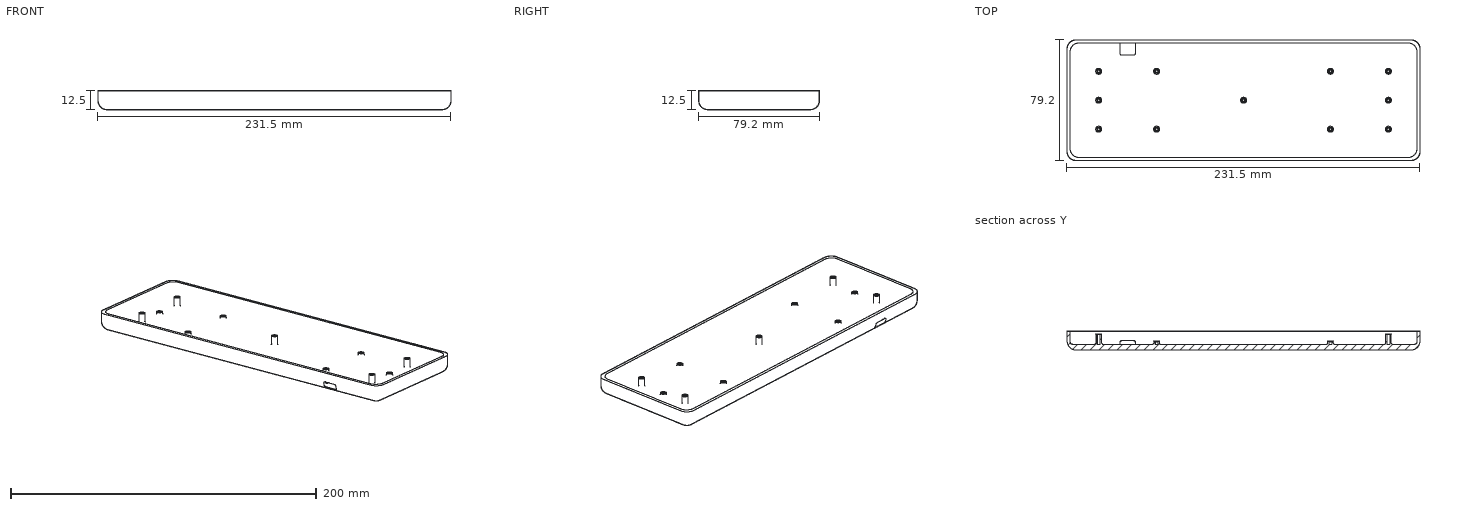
import cadquery as cq
import math

LENGTH = 231.5
WIDTH = 79.2
HEIGHT = 12.5
CORNER_RADIUS = 6.0
BOTTOM_FILLET = CORNER_RADIUS - 0.02
WALL = 2.0
FLOOR = 4.0
INNER_CORNER_RADIUS = 5.8
INNER_FILLET = 1.9

GRID_PITCH = 19.0
OUTER_COLUMN = 5 * GRID_PITCH
INNER_COLUMN = 3 * GRID_PITCH
POST_DIAMETER = 4.0
POST_FILLET = 1.2
POST_HOLE_DIAMETER = 1.6
POST_HOLE_CHAMFER = 0.5
TALL_POST_HEIGHT = 6.7
SHORT_POST_HEIGHT = 2.0

PORT_X = -76.0
PORT_WIDTH = 10.0
PORT_DEPTH = 10.0
PORT_BOTTOM = 2.5
PORT_TOP = 6.3
PORT_ROUNDING = 1.0


def rounded_block(length, width, height, corner_radius, bottom_fillet):
    """Block standing on Z = 0 with rounded corners and a rounded bottom edge."""
    block = cq.Workplane("XY").box(length, width, height, centered=(True, True, False))
    return block.edges("|Z").fillet(corner_radius).faces("<Z").edges().fillet(bottom_fillet)


def tray():
    """Open tray, rounded outside and inside."""
    body = rounded_block(LENGTH, WIDTH, HEIGHT, CORNER_RADIUS, BOTTOM_FILLET)
    cavity = rounded_block(
        LENGTH - 2 * WALL,
        WIDTH - 2 * WALL,
        HEIGHT - FLOOR,
        INNER_CORNER_RADIUS,
        INNER_FILLET,
    )
    return body.cut(cavity.translate((0, 0, FLOOR)))


def port():
    """Rounded opening that runs from inside the tray out through the back wall."""
    return (
        cq.Workplane("XY")
        .box(PORT_WIDTH, PORT_DEPTH, PORT_TOP - PORT_BOTTOM, centered=(True, False, False))
        .edges("|Y or <Y")
        .fillet(PORT_ROUNDING)
        .translate((PORT_X, WIDTH / 2 - PORT_DEPTH, PORT_BOTTOM))
    )


def post(height):
    """Post standing on Z = 0 with a flared foot and a chamfered hole along its axis."""
    radius = POST_DIAMETER / 2
    hole_radius = POST_HOLE_DIAMETER / 2
    arc_inset = POST_FILLET * (1 - math.sin(math.radians(45)))
    return (
        cq.Workplane("XZ")
        .moveTo(hole_radius, 0)
        .lineTo(radius + POST_FILLET, 0)
        .threePointArc((radius + arc_inset, arc_inset), (radius, POST_FILLET))
        .lineTo(radius, height)
        .lineTo(hole_radius + POST_HOLE_CHAMFER, height)
        .lineTo(hole_radius, height - POST_HOLE_CHAMFER)
        .close()
        .revolve(360, (0, 0, 0), (0, 1, 0))
    )


def add_posts(body, places, height):
    """Join a post of the given height to the floor at each place."""
    for x, y in places:
        body = body.union(post(height).translate((x, y, FLOOR)))
    return body


tall_places = [(0, 0)]
short_places = []
for side in (-1, 1):
    short_places.append((side * OUTER_COLUMN, 0))
    for row in (-GRID_PITCH, GRID_PITCH):
        tall_places.append((side * OUTER_COLUMN, row))
        short_places.append((side * INNER_COLUMN, row))

result = tray().cut(port())
result = add_posts(result, tall_places, TALL_POST_HEIGHT)
result = add_posts(result, short_places, SHORT_POST_HEIGHT)